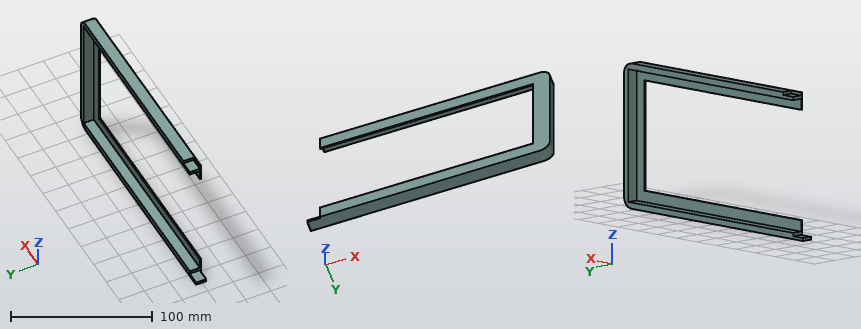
import cadquery as cq

length = 182.2
depth = 9.1
height = 104.5

flange_thickness = 1.1
flange_width = 12.5
rim_depth = depth - flange_thickness
rim_thickness = 4.5
tongue_thickness = 2.2
corner_radius = 8.0

lap_length = 10.0


def u_frame(width, y_front, y_depth):
    """U-shaped band of the given width, open towards -X, with rounded outer corners."""
    outer = (
        cq.Workplane("XY")
        .box(length - lap_length, y_depth, height, centered=False)
        .edges("|Y and >X")
        .fillet(corner_radius)
    )
    opening = (
        cq.Workplane("XY")
        .box(length - lap_length - width, y_depth, height - 2 * width, centered=False)
        .translate((0, 0, width))
    )
    return outer.cut(opening).translate((lap_length, y_front, 0))


def lap_block(x_start, x_length, z_bottom):
    """One tongue-thick layer of the rim, used to add or remove a lap."""
    return (
        cq.Workplane("XY")
        .box(x_length, rim_depth, tongue_thickness, centered=False)
        .translate((x_start, flange_thickness, z_bottom))
    )


flange = u_frame(flange_width, 0, flange_thickness)
rim = u_frame(rim_thickness, flange_thickness, rim_depth)

lower_tongue = lap_block(0, 2 * lap_length, 0)
upper_recess = lap_block(lap_length, lap_length, height - tongue_thickness)

result = flange.union(rim).union(lower_tongue).cut(upper_recess)